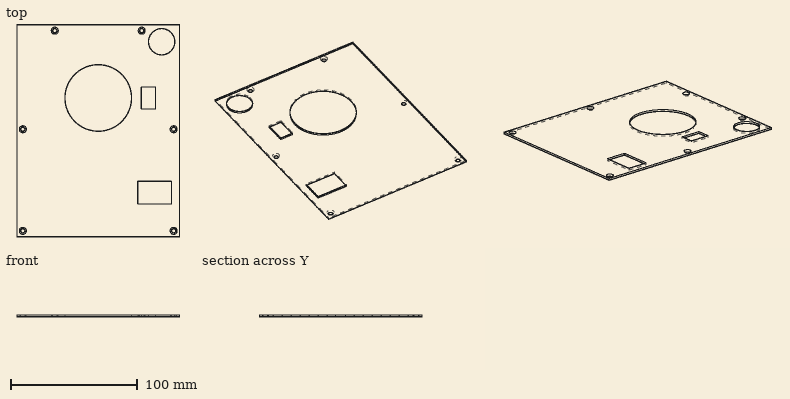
import cadquery as cq

plate_width = 128.6
plate_length = 167.5
plate_thickness = 1.59

screw_edge_inset = 4.76
screw_diameter = 3.2
countersink_diameter = 5.56
countersink_angle = 82
top_screw_spacing = 68.65
middle_screw_y = 1.2

large_opening_diameter = 52.4
large_opening_center = (0, 25.9)
corner_opening_diameter = 20.6
corner_opening_center = (50.05, 70.27)

small_window_size = (11.2, 17.2)
small_window_center = (39.55, 25.9)
large_window_size = (26.5, 17.7)
large_window_center = (44.5, -48.9)


def make_plate():
    return cq.Workplane("XY").box(
        plate_width, plate_length, plate_thickness, centered=(True, True, False)
    )


def screw_positions():
    """Mirrored pairs of screw centres along the top edge, mid-length and the bottom corners."""
    side_x = plate_width / 2 - screw_edge_inset
    end_y = plate_length / 2 - screw_edge_inset
    right_side = [
        (top_screw_spacing / 2, end_y),
        (side_x, middle_screw_y),
        (side_x, -end_y),
    ]
    return [(sign * x, y) for x, y in right_side for sign in (-1, 1)]


def cut_screw_holes(plate):
    return (
        plate.faces(">Z")
        .workplane(origin=(0, 0, plate_thickness))
        .pushPoints(screw_positions())
        .cskHole(screw_diameter, countersink_diameter, countersink_angle)
    )


def round_cutter(center, diameter):
    return cq.Workplane("XY").center(*center).circle(diameter / 2).extrude(plate_thickness)


def window_cutter(center, size):
    return cq.Workplane("XY").center(*center).rect(*size).extrude(plate_thickness)


result = (
    cut_screw_holes(make_plate())
    .cut(round_cutter(large_opening_center, large_opening_diameter))
    .cut(round_cutter(corner_opening_center, corner_opening_diameter))
    .cut(window_cutter(small_window_center, small_window_size))
    .cut(window_cutter(large_window_center, large_window_size))
)